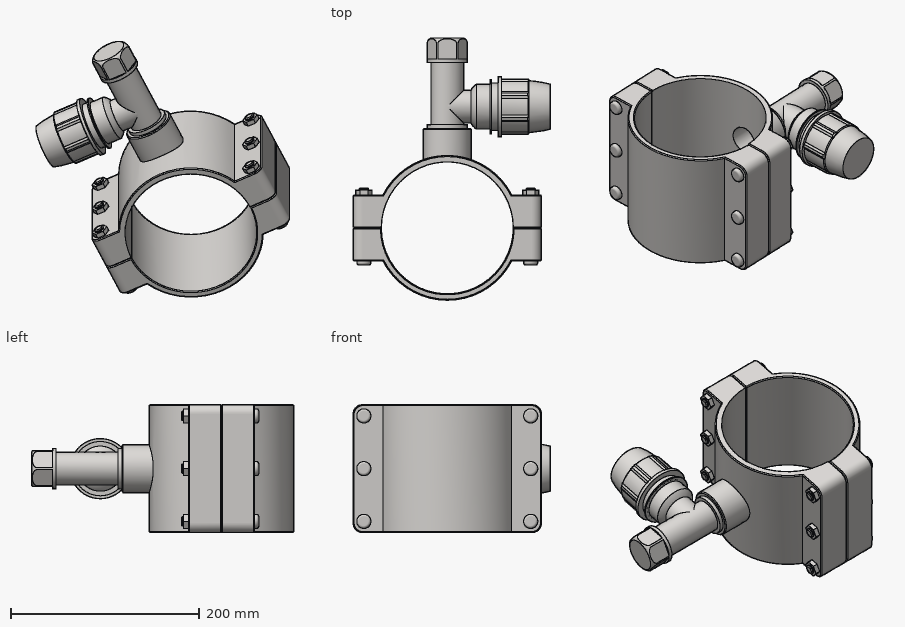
import cadquery as cq
import math


OVERALL_DEPTH = 278.7

CLAMP_HEIGHT = 136.0
BORE_RADIUS = 70.0
WALL = 7.0
RING_RADIUS = BORE_RADIUS + WALL
LUG_THICKNESS = 35.0
LUG_REACH = 100.0
LUG_CORNER = 10.0
EDGE = 1.0

BOLT_X = 88.5
BOLT_SPACING = 56.0
BOLT_DIAMETER = 10.0
HEAD_DIAMETER = 15.0
HEAD_HEIGHT = 4.5
NUT_FLATS = 15.0
NUT_HEIGHT = 5.0
BOLT_END = 2.5
BOLT_END_BEVEL = 1.0

BOSS_DIAMETER = 51.3
BOSS_BASE = BORE_RADIUS + 1.5
BOSS_TOP = 105.5
BOSS_BEVEL = 1.0
COLLAR_DIAMETER = 43.0
LOWER_COLLAR_TOP = 109.8
PIPE_DIAMETER = 35.0
UPPER_COLLAR_BASE = 175.5
HEX_BASE = 179.5
HEX_FLATS = 38.2
TEE_TOP = OVERALL_DEPTH - RING_RADIUS
CROWN_DROP = 5.0
CROWN_ARC_OUT = 0.5
CROWN_ARC_DROP = 2.0
TAP_HOLE_DIAMETER = 32.0

COUPLING_Y = 128.8
SHOULDER_START = 25
SHOULDER_END = 31.0
SHOULDER_BULGE = 0.8
SOCKET_DIAMETER = 48.0
RING_START = 45.5
RING_END = 46.8
COUPLING_RING_DIAMETER = 57.7
NECK_DIAMETER = 50.7
FLANGE_START = 54.0
FLANGE_END = 57.7
FLANGE_DIAMETER = 64
GRIP_DIAMETER = 57.7
GRIP_END = 87.0
GRIP_BEVEL = 1.0
NOSE_END = 109.5
NOSE_DIAMETER = 48.0
NOSE_BULGE = 0.5
RIB_COUNT = 7
RIB_BASE_WIDTH = 7.8
RIB_TOP_WIDTH = 3.0
RIB_RADIUS = 30.0
RIB_END_BEVEL = 1.7

ACROSS_Y = cq.Plane(origin=(0, 0, 0), xDir=(-1, 0, 0), normal=(0, 1, 0))


def disc(start, end, diameter):
    """Cylinder along +Y between two distances from the split plane."""
    return cq.Workplane(ACROSS_Y).workplane(offset=start).circle(diameter / 2).extrude(end - start)


def clamp_bore():
    """Plain cylinder that fills the clamp bore."""
    return cq.Workplane("XY").cylinder(CLAMP_HEIGHT, BORE_RADIUS)


def lug(side, direction):
    """One lug of a clamp half, rounded at its outer corners and bevelled on its back face."""
    back = ">Y" if direction > 0 else "<Y"
    outer = ">X" if side > 0 else "<X"
    return (
        cq.Workplane("XY")
        .box(LUG_REACH, LUG_THICKNESS, CLAMP_HEIGHT)
        .translate((side * LUG_REACH / 2, direction * LUG_THICKNESS / 2, 0))
        .edges(f"|Y and {outer}").fillet(LUG_CORNER)
        .faces(back).edges().chamfer(EDGE)
    )


def clamp_half(direction):
    """Half ring with two lugs and a plain bore, on the +Y or the -Y side of the split plane."""
    ring = cq.Workplane("XY").cylinder(CLAMP_HEIGHT, RING_RADIUS)
    ring = ring.faces("<Z or >Z").edges().chamfer(EDGE)
    keep = (
        cq.Workplane("XY")
        .box(2 * LUG_REACH, RING_RADIUS, CLAMP_HEIGHT)
        .translate((0, direction * RING_RADIUS / 2, 0))
    )
    half = ring.intersect(keep)
    for side in (-1, 1):
        half = half.union(lug(side, direction))
    return half.cut(clamp_bore())


def flared_bore():
    """Bore with a bevel opening out at each end."""
    flare = (
        cq.Workplane("XY").workplane(offset=CLAMP_HEIGHT / 2 - EDGE)
        .circle(BORE_RADIUS)
        .workplane(offset=EDGE)
        .circle(BORE_RADIUS + EDGE)
        .loft(ruled=True)
    )
    return clamp_bore().union(flare).union(flare.mirror("XY"))


def clamp():
    """Both halves; the split faces are bevelled, and the -Y half also along its bore."""
    upper = clamp_half(1)
    upper = upper.faces("<Y").edges("not |Z or <X or >X").chamfer(EDGE)
    lower = clamp_half(-1)
    lower = lower.faces(">Y").edges().chamfer(EDGE).cut(flared_bore())
    return upper.union(lower)


def bolts():
    """Three bolts through each pair of lugs, with round heads below and hex nuts above."""
    positions = [(x, row * BOLT_SPACING) for x in (-BOLT_X, BOLT_X) for row in (-1, 0, 1)]
    head = (
        disc(-LUG_THICKNESS - HEAD_HEIGHT, -LUG_THICKNESS, HEAD_DIAMETER)
        .faces("<Y").edges().fillet((HEAD_DIAMETER - BOLT_DIAMETER) / 2)
    )
    nut_top = LUG_THICKNESS + NUT_HEIGHT
    nut = (
        cq.Workplane(ACROSS_Y).workplane(offset=LUG_THICKNESS)
        .polygon(6, NUT_FLATS / math.cos(math.pi / 6)).extrude(NUT_HEIGHT)
    )
    shank = (
        disc(-LUG_THICKNESS, nut_top + BOLT_END, BOLT_DIAMETER)
        .faces(">Y").edges().chamfer(BOLT_END_BEVEL)
    )
    bolt = head.union(shank).union(nut)
    group = cq.Workplane("XY")
    for x, z in positions:
        group = group.union(bolt.translate((x, 0, z)))
    return group


def hex_crown():
    """Hexagon with its corners turned to the collar diameter and a rounded crown."""
    prism = (
        cq.Workplane(ACROSS_Y).workplane(offset=HEX_BASE)
        .polygon(6, HEX_FLATS / math.cos(math.pi / 6)).extrude(TEE_TOP - HEX_BASE)
    )
    rim = COLLAR_DIAMETER / 2
    flat = PIPE_DIAMETER / 2
    turned = (
        cq.Workplane("XY")
        .moveTo(0, HEX_BASE)
        .lineTo(rim, HEX_BASE)
        .lineTo(rim, TEE_TOP - CROWN_DROP)
        .threePointArc(((rim + flat) / 2 + CROWN_ARC_OUT, TEE_TOP - CROWN_ARC_DROP), (flat, TEE_TOP))
        .lineTo(0, TEE_TOP)
        .close()
        .revolve(360, (0, 0, 0), (0, 1, 0))
    )
    return prism.intersect(turned)


def tee():
    """Stepped round body from the clamp wall up to the hexagonal crown."""
    boss = BOSS_DIAMETER / 2
    collar = COLLAR_DIAMETER / 2
    pipe = PIPE_DIAMETER / 2
    body = (
        cq.Workplane("XY")
        .moveTo(0, BOSS_BASE)
        .lineTo(boss, BOSS_BASE)
        .lineTo(boss, BOSS_TOP - BOSS_BEVEL)
        .lineTo(boss - BOSS_BEVEL, BOSS_TOP)
        .lineTo(collar, BOSS_TOP)
        .lineTo(collar, LOWER_COLLAR_TOP)
        .lineTo(pipe, LOWER_COLLAR_TOP)
        .lineTo(pipe, UPPER_COLLAR_BASE)
        .lineTo(collar, UPPER_COLLAR_BASE)
        .lineTo(collar, HEX_BASE)
        .lineTo(0, HEX_BASE)
        .close()
        .revolve(360, (0, 0, 0), (0, 1, 0))
    )
    return body.union(hex_crown())


def coupling():
    """Turned coupling body with a ribbed nut and a bowed nose."""
    pipe = PIPE_DIAMETER / 2
    socket = SOCKET_DIAMETER / 2
    shoulder_middle = ((SHOULDER_START + SHOULDER_END) / 2, (pipe + socket) / 2 + SHOULDER_BULGE)
    grip = GRIP_DIAMETER / 2
    nose_base = grip - GRIP_BEVEL
    nose_tip = NOSE_DIAMETER / 2
    nose_middle = ((GRIP_END + NOSE_END) / 2, (nose_base + nose_tip) / 2 + NOSE_BULGE)
    turned = (
        cq.Workplane("XY")
        .moveTo(0, 0)
        .lineTo(0, pipe)
        .lineTo(SHOULDER_START, pipe)
        .threePointArc(shoulder_middle, (SHOULDER_END, socket))
        .lineTo(RING_START, socket)
        .lineTo(RING_START, COUPLING_RING_DIAMETER / 2)
        .lineTo(RING_END, COUPLING_RING_DIAMETER / 2)
        .lineTo(RING_END, NECK_DIAMETER / 2)
        .lineTo(FLANGE_START, NECK_DIAMETER / 2)
        .lineTo(FLANGE_START, FLANGE_DIAMETER / 2)
        .lineTo(FLANGE_END, FLANGE_DIAMETER / 2)
        .lineTo(FLANGE_END, grip)
        .lineTo(GRIP_END - GRIP_BEVEL, grip)
        .lineTo(GRIP_END, nose_base)
        .threePointArc(nose_middle, (NOSE_END, nose_tip))
        .lineTo(NOSE_END, 0)
        .close()
        .revolve(360, (0, 0, 0), (1, 0, 0))
    )
    base = RIB_BASE_WIDTH / 2
    top = RIB_TOP_WIDTH / 2
    root = math.sqrt(grip ** 2 - base ** 2)
    rib = (
        cq.Workplane("YZ").workplane(offset=FLANGE_END)
        .moveTo(-base, 0)
        .lineTo(base, 0)
        .lineTo(base, root)
        .lineTo(top, RIB_RADIUS)
        .lineTo(-top, RIB_RADIUS)
        .lineTo(-base, root)
        .close()
        .extrude(GRIP_END - FLANGE_END)
        .faces(">Z").edges(">X").chamfer(RIB_END_BEVEL)
        .rotate((0, 0, 0), (1, 0, 0), 180)
    )
    for index in range(RIB_COUNT):
        turned = turned.union(rib.rotate((0, 0, 0), (1, 0, 0), index * 360 / RIB_COUNT))
    return turned.translate((0, COUPLING_Y, 0))


def tap_hole():
    """Hole from the clamp bore to the top of the boss."""
    return disc(0, BOSS_TOP, TAP_HOLE_DIAMETER)


result = (
    clamp()
    .union(tee())
    .union(coupling())
    .union(bolts())
    .cut(tap_hole())
)